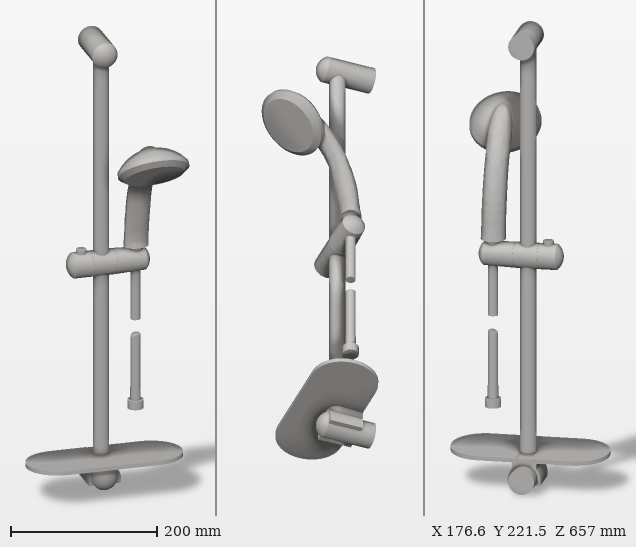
import cadquery as cq
import math


total_height = 657.0
bar_diameter = 22.5
mount_diameter = 36.0
mount_radius = mount_diameter / 2
mount_back_x = -50.0
mount_rim_x = 19.0
mount_dome_height = 11.0
lower_mount_z = mount_radius
upper_mount_z = total_height - mount_radius

slider_z = 328.0
slider_radius = mount_radius
holder_end_y = 62.0
holder_end_radius = 16.5
holder_dome_height = 7.0
joint_y = 18.0
joint_width = 2.5
joint_depth = 0.5
knob_start_y = -15.0
knob_seam_width = 0.5
knob_rim_y = -41.0
knob_dome_height = 8.5
button_diameter = 14.5
button_y = -28.0
button_top_z = 351.0

dish_length = 221.5
dish_width = 93.5
dish_thickness = 6.0
dish_corner_radius = 46.0
dish_back_x = -31.0
dish_back_top_z = 46.0
dish_tilt = 3.5
neck_diameter = 33.5
neck_bottom_z = 30.0
slot_depth = 0.5
saddle_radius = 23.0
saddle_shoulder_z = 15.0
saddle_bottom_z = 8.5
saddle_back_x = -29.0

shower_y = 49.0
handle_bottom_z = 348.5
handle_half_width = 16.5
handle_edge_share = 0.75
tip_diameter = 23.0
tip_end_diameter = 17.0
tip_end_z = 334.5
head_center = (91.5, shower_y, 483.0)
head_pitch = 38.5
face_radius = 41.5
rim_radius = 50.0
rim_height = 6.5
dome_base_radius = 49.0
dome_base_height = 13.0
dome_height = 39.0

hose_diameter = 14.0
upper_hose_end_z = 240.0
lower_hose_top_z = 218.0
sleeve_diameter = 14.5
sleeve_top_z = 139.5
nut_diameter = 22.5
nut_top_z = 121.5
nut_bottom_z = 109.0
break_drop = 3.0


def rod(diameter, bottom_z, top_z, y=0.0):
    """Upright cylinder at X = 0."""
    return cq.Workplane("XY", origin=(0, y, bottom_z)).circle(diameter / 2).extrude(top_z - bottom_z)


def make_mount(z):
    """Wall mount along X with a domed front end."""
    profile = (
        cq.Workplane("XZ", origin=(0, 0, z))
        .moveTo(mount_back_x, 0)
        .lineTo(mount_back_x, mount_radius)
        .lineTo(mount_rim_x, mount_radius)
    )
    sphere_radius = (mount_radius**2 + mount_dome_height**2) / (2 * mount_dome_height)
    return (
        profile.radiusArc((mount_rim_x + mount_dome_height, 0), sphere_radius)
        .close()
        .revolve(360, (0, 0, 0), (1, 0, 0))
    )


def make_slider():
    """Slider along Y: tapered holder, bar clamp and knob, each end domed."""
    holder_tip_y = holder_end_y + holder_dome_height
    knob_tip_y = knob_rim_y - knob_dome_height
    holder_sphere = (holder_end_radius**2 + holder_dome_height**2) / (2 * holder_dome_height)
    knob_sphere = (slider_radius**2 + knob_dome_height**2) / (2 * knob_dome_height)
    slider = (
        cq.Workplane("YZ", origin=(0, 0, slider_z))
        .moveTo(knob_tip_y, 0)
        .radiusArc((knob_rim_y, slider_radius), knob_sphere)
        .lineTo(joint_y, slider_radius)
        .lineTo(holder_end_y, holder_end_radius)
        .radiusArc((holder_tip_y, 0), holder_sphere)
        .close()
        .revolve(360, (0, 0, 0), (1, 0, 0))
    )
    for groove_y, groove_width in ((joint_y, joint_width), (knob_start_y, knob_seam_width)):
        slider = slider.cut(slider_groove(groove_y, groove_width))
    return slider.union(rod(button_diameter, slider_z, button_top_z, button_y))


def slider_groove(y, width):
    """Ring that cuts a shallow groove round the slider."""
    return (
        cq.Workplane("XZ", origin=(0, y + width / 2, slider_z))
        .circle(slider_radius + joint_depth)
        .circle(slider_radius - joint_depth)
        .extrude(width)
    )


def make_dish():
    """Tilted soap dish with its neck round the bar and its saddle over the lower mount."""
    plate = (
        cq.Workplane("XY")
        .box(dish_width, dish_length, dish_thickness, centered=(False, True, False))
        .edges("|Z")
        .fillet(dish_corner_radius)
    )
    slot = cq.Workplane("XY", origin=(0, 0, dish_thickness - slot_depth)).box(
        -dish_back_x, bar_diameter, slot_depth, centered=(False, True, False)
    )
    plate = (
        plate.cut(slot)
        .rotate((0, 0, 0), (0, 1, 0), -dish_tilt)
        .translate((dish_back_x, 0, dish_back_top_z - dish_thickness))
    )

    neck_height = dish_back_top_z - dish_thickness / 2 - neck_bottom_z
    neck = rod(neck_diameter, neck_bottom_z, neck_bottom_z + neck_height).union(
        cq.Workplane("XY", origin=(dish_back_x, 0, neck_bottom_z)).box(
            -dish_back_x, neck_diameter, neck_height, centered=(False, True, False)
        )
    )

    back_recess = cq.Workplane("XY", origin=(dish_back_x, 0, neck_bottom_z)).box(
        slot_depth, bar_diameter, dish_back_top_z - neck_bottom_z, centered=(False, True, False)
    )
    return plate.union(neck).cut(back_recess).union(make_saddle())


def make_saddle():
    """Saddle with rounded shoulders and straight sides, cut level with the top of the mount."""
    half_top = math.sqrt(saddle_radius**2 - (mount_diameter - saddle_shoulder_z) ** 2)
    return (
        cq.Workplane("YZ", origin=(saddle_back_x, 0, 0))
        .moveTo(-saddle_radius, saddle_bottom_z)
        .lineTo(-saddle_radius, saddle_shoulder_z)
        .radiusArc((-half_top, mount_diameter), saddle_radius)
        .lineTo(half_top, mount_diameter)
        .radiusArc((saddle_radius, saddle_shoulder_z), saddle_radius)
        .lineTo(saddle_radius, saddle_bottom_z)
        .close()
        .extrude(mount_rim_x - saddle_back_x)
    )


def make_tip_and_hose():
    """Conical end of the shower with the upper part of the hose below it."""
    tip = (
        cq.Workplane("XY", origin=(0, shower_y, tip_end_z))
        .circle(tip_end_diameter / 2)
        .workplane(offset=handle_bottom_z - tip_end_z)
        .circle(tip_diameter / 2)
        .loft()
    )
    return tip.union(rod(hose_diameter, upper_hose_end_z, tip_end_z, shower_y))


def make_handle():
    """Curved handle: a loft through D-shaped sections, each spanning from its back to its front."""
    stations = (
        ((-15.0, handle_bottom_z), (15.0, handle_bottom_z), handle_half_width),
        ((-10.0, 388.0), (18.0, 384.5), handle_half_width),
        ((-1.0, 424.5), (25.0, 419.5), handle_half_width),
        ((12.5, 458.0), (34.0, 447.0), handle_half_width),
        ((30.0, 488.0), (49.0, 472.0), handle_half_width),
        ((50.0, 509.5), (64.5, 490.0), 16.0),
        ((75.5, 520.0), (82.0, 499.5), 10.5),
    )
    sections = []
    for (back_x, back_z), (front_x, front_z), half_width in stations:
        depth = math.hypot(front_x - back_x, front_z - back_z)
        edge = handle_edge_share * depth
        back_radius = (edge**2 + half_width**2) / (2 * edge)
        plane = cq.Plane(
            origin=(back_x, shower_y, back_z),
            xDir=(front_x - back_x, 0, front_z - back_z),
            normal=(back_z - front_z, 0, front_x - back_x),
        )
        section = (
            cq.Workplane(plane)
            .moveTo(edge, -half_width)
            .threePointArc((depth, 0), (edge, half_width))
            .radiusArc((0, 0), -back_radius)
            .radiusArc((edge, -half_width), -back_radius)
            .close()
        )
        sections.append(section.val())
    return cq.Workplane(cq.Solid.makeLoft(sections))


def make_head():
    """Shower head: a turned dome whose axis leans back over the handle."""
    pitch = math.radians(head_pitch)
    head_plane = cq.Plane(
        origin=head_center,
        xDir=(math.cos(pitch), 0, math.sin(pitch)),
        normal=(0, -1, 0),
    )
    bulge = dome_height - dome_base_height
    sphere_radius = (dome_base_radius**2 + bulge**2) / (2 * bulge)
    return (
        cq.Workplane(head_plane)
        .lineTo(face_radius, 0)
        .lineTo(rim_radius, rim_height)
        .lineTo(dome_base_radius, dome_base_height)
        .radiusArc((0, dome_height), -sphere_radius)
        .close()
        .revolve(360, (0, 0, 0), (0, 1, 0))
    )


def make_wall_bar():
    """Bar, mounts, slider and dish in one body, with the slider bored for the shower."""
    bar = rod(bar_diameter, lower_mount_z, upper_mount_z)
    for z in (lower_mount_z, upper_mount_z):
        bar = bar.union(make_mount(z))
    return bar.union(make_slider()).union(make_dish()).cut(make_tip_and_hose())


def make_hand_shower():
    return make_handle().union(make_head()).union(make_tip_and_hose())


def make_lower_hose():
    """Lower end of the hose: broken top, sleeve and coupling nut."""
    hose = (
        rod(hose_diameter, sleeve_top_z, lower_hose_top_z, shower_y)
        .union(rod(sleeve_diameter, nut_top_z, sleeve_top_z, shower_y))
        .union(rod(nut_diameter, nut_bottom_z, nut_top_z, shower_y))
    )
    slope = (
        cq.Workplane("YZ", origin=(-hose_diameter, shower_y, lower_hose_top_z))
        .lineTo(-hose_diameter / 2, 0)
        .lineTo(-hose_diameter / 2, -break_drop)
        .close()
        .extrude(2 * hose_diameter)
    )
    return hose.cut(slope)


wall_bar = make_wall_bar()
hand_shower = make_hand_shower()
lower_hose = make_lower_hose()

result = cq.Compound.makeCompound([body.solids().val() for body in (wall_bar, hand_shower, lower_hose)])